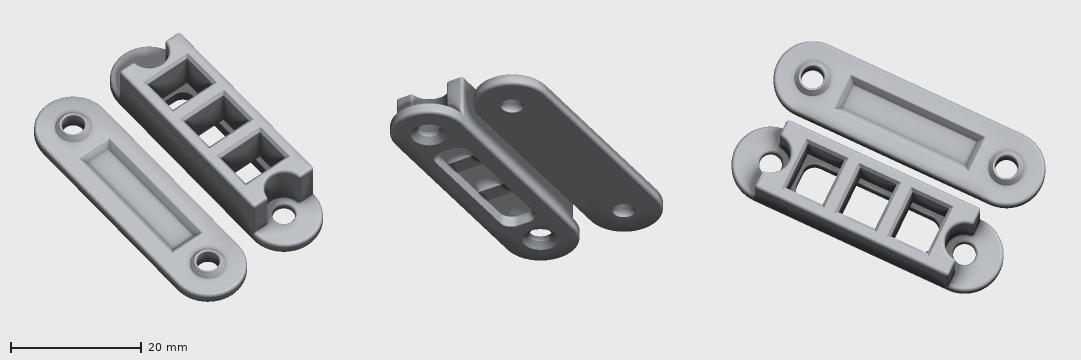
import cadquery as cq

LENGTH = 45.0
WIDTH = 12.0
PLATE_THICKNESS = 2.0
BODY_PITCH = 15.0
END_RADIUS = WIDTH / 2
EDGE_ROUND = 0.5

SCREW_HOLE_DIAMETER = 3.5
SCREW_HOLE_RADIUS = SCREW_HOLE_DIAMETER / 2
SCREW_X = LENGTH / 2 - END_RADIUS
SCREW_POINTS = [(-SCREW_X, 0), (SCREW_X, 0)]

HOUSING_HEIGHT = 9.0
RELIEF_RADIUS = 3.0
BASE_ROUND = 0.22
HOUSING_HOLE_ROUND = 0.4

WINDOW_COUNT = 3
WINDOW_PITCH = 8.9
WINDOW_LENGTH = 6.2
WINDOW_WIDTH = 7.8
WINDOW_CHAMFER = 0.5
LEDGE_HEIGHT = PLATE_THICKNESS
SLOT_LENGTH = 23.0
SLOT_WIDTH = 6.0
SLOT_CORNER_RADIUS = 2.0
SLOT_MOUTH_ROUND = 0.2

BOSS_HEIGHT = 0.8
BOSS_BASE_RADIUS = 2.8
BOSS_TOP_RADIUS = 2.05
BOSS_HOLE_ROUND = BOSS_TOP_RADIUS - SCREW_HOLE_RADIUS
TRAY_FLOOR_LENGTH = 20.9
TRAY_FLOOR_WIDTH = 4.05
TRAY_DEPTH = 1.0
TRAY_MOUTH_ROUND = 0.25

SOCKET_DEPTH = 0.9
SOCKET_BASE_RADIUS = BOSS_BASE_RADIUS

SELECTION_MARGIN = 0.005


def box_at(length, width, bottom, top):
    """Rectangular block centred on the Z axis between two heights."""
    return cq.Workplane("XY").workplane(offset=bottom).rect(length, width).extrude(top - bottom)


def funnel_at(bottom_length, bottom_width, depth, top):
    """Rectangular funnel with 45 degree walls that widens upward to the given height."""
    return (
        cq.Workplane("XY")
        .workplane(offset=top)
        .rect(bottom_length + 2 * depth, bottom_width + 2 * depth)
        .extrude(-depth, taper=45)
    )


def cone(base_radius, top_radius, height):
    """Truncated cone standing on the ground at the origin."""
    profile = cq.Workplane("XZ").polyline([(0, 0), (base_radius, 0), (top_radius, height), (0, height)])
    return profile.close().revolve(360, (0, 0, 0), (0, 1, 0))


def edges_within(length, width, height):
    """Selector for edges that lie at one height inside a centred rectangle."""
    x = length / 2 + SELECTION_MARGIN
    y = width / 2 + SELECTION_MARGIN
    low = (-x, -y, height - SELECTION_MARGIN)
    high = (x, y, height + SELECTION_MARGIN)
    return cq.selectors.BoxSelector(low, high, boundingbox=True)


def make_plate():
    """Stadium plate on the ground, rounded along its top and bottom edges."""
    plate = cq.Workplane("XY").slot2D(LENGTH, WIDTH).extrude(PLATE_THICKNESS)
    return plate.faces("<Z or >Z").edges().fillet(EDGE_ROUND)


def drill_screw_holes(body, top, mouth_round):
    """Cut through holes whose mouths at the given height are rounded."""
    rounding_start = top - mouth_round
    profile = (
        cq.Workplane("XZ")
        .lineTo(SCREW_HOLE_RADIUS, 0)
        .lineTo(SCREW_HOLE_RADIUS, rounding_start)
        .radiusArc((SCREW_HOLE_RADIUS + mouth_round, top), mouth_round)
        .lineTo(0, top)
        .close()
    )
    drill = profile.revolve(360, (0, 0, 0), (0, 1, 0))
    for x, y in SCREW_POINTS:
        body = body.cut(drill.translate((x, y, 0)))
    return body


def make_block():
    """Block flush with the plate's long sides, rounded on its upright and top edges."""
    block = box_at(2 * SCREW_X, WIDTH, EDGE_ROUND, HOUSING_HEIGHT)
    reliefs = cq.Workplane("XY").pushPoints(SCREW_POINTS).circle(RELIEF_RADIUS).extrude(HOUSING_HEIGHT)
    block = block.cut(reliefs).edges("|Z").fillet(EDGE_ROUND)
    return block.faces(">Z").edges().fillet(EDGE_ROUND)


def make_shell():
    """Plate and block in one, with a small round where the block's ends rise from the plate."""
    shell = make_plate().union(make_block())
    return shell.edges(edges_within(2 * SCREW_X, WIDTH, PLATE_THICKNESS)).fillet(BASE_ROUND)


def make_window():
    """Rectangular window from the ledge up to the housing top, with a chamfered mouth."""
    window = box_at(WINDOW_LENGTH, WINDOW_WIDTH, LEDGE_HEIGHT, HOUSING_HEIGHT)
    return window.union(funnel_at(WINDOW_LENGTH, WINDOW_WIDTH, WINDOW_CHAMFER, HOUSING_HEIGHT))


def make_slot():
    """Round-cornered slot below the ledge, flared by a round at its upper mouth."""
    straight_slot = (
        box_at(SLOT_LENGTH, SLOT_WIDTH, 0, LEDGE_HEIGHT)
        .edges("|Z")
        .fillet(SLOT_CORNER_RADIUS)
    )
    surround = box_at(2 * SCREW_X, WIDTH, 0, LEDGE_HEIGHT)
    frame = surround.cut(straight_slot)
    mouth_edges = edges_within(SLOT_LENGTH, SLOT_WIDTH, LEDGE_HEIGHT)
    return surround.cut(frame.edges(mouth_edges).fillet(SLOT_MOUTH_ROUND))


def make_housing():
    housing = drill_screw_holes(make_shell(), PLATE_THICKNESS, HOUSING_HOLE_ROUND)
    socket = cone(SOCKET_BASE_RADIUS, SCREW_HOLE_RADIUS, SOCKET_DEPTH)
    for x, y in SCREW_POINTS:
        housing = housing.cut(socket.translate((x, y, 0)))
    housing = housing.cut(make_slot())
    window = make_window()
    for index in range(WINDOW_COUNT):
        x = (index - (WINDOW_COUNT - 1) / 2) * WINDOW_PITCH
        housing = housing.cut(window.translate((x, 0, 0)))
    return housing


def cut_tray(plate):
    """Cut a shallow tray with 45 degree walls and a rounded mouth into the plate's top face."""
    tray = funnel_at(TRAY_FLOOR_LENGTH, TRAY_FLOOR_WIDTH, TRAY_DEPTH, PLATE_THICKNESS)
    mouth_length = TRAY_FLOOR_LENGTH + 2 * TRAY_DEPTH
    mouth_width = TRAY_FLOOR_WIDTH + 2 * TRAY_DEPTH
    mouth_edges = edges_within(mouth_length, mouth_width, PLATE_THICKNESS)
    return plate.cut(tray).edges(mouth_edges).fillet(TRAY_MOUTH_ROUND)


def make_cover():
    cover = cut_tray(make_plate())
    boss = cone(BOSS_BASE_RADIUS, BOSS_TOP_RADIUS, BOSS_HEIGHT)
    for x, y in SCREW_POINTS:
        cover = cover.union(boss.translate((x, y, PLATE_THICKNESS)))
    return drill_screw_holes(cover, PLATE_THICKNESS + BOSS_HEIGHT, BOSS_HOLE_ROUND)


housing = make_housing().translate((0, BODY_PITCH / 2, 0))
cover = make_cover().translate((0, -BODY_PITCH / 2, 0))
result = cq.Compound.makeCompound([housing.solids().val(), cover.solids().val()])